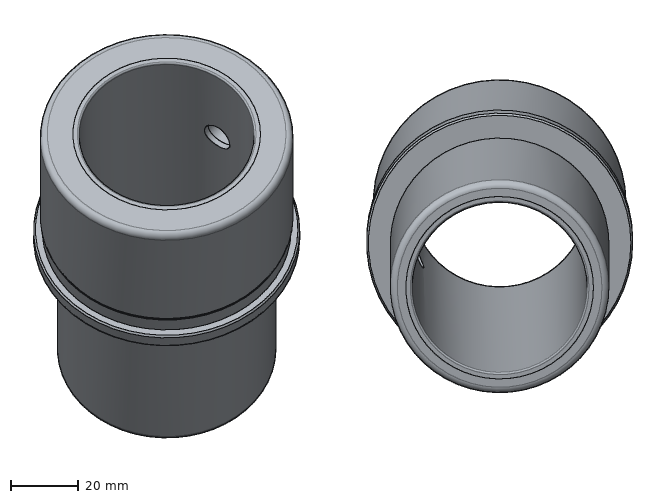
import cadquery as cq

length = 110.0
head_radius = 37.5
neck_radius = 37.0
flange_radius = 39.5
shank_radius = 32.5
end_round = 2.1

flange_bottom = 57.0
flange_height = 5.1
flange_top = flange_bottom + flange_height
flange_chamfer = 0.5
neck_height = 5.0
neck_top = flange_top + neck_height

relief_depth = 0.9
shank_relief_height = 1.9
head_relief_height = 1.5

liner_outer_radius = 27.8
bore_radius = 26.0
bore_round = 0.5

oil_hole_radius = 4.6
oil_hole_height = 79.8


def oil_hole():
    """Radial cylinder that runs from the axis out through the +Y wall."""
    return (
        cq.Workplane("XZ", origin=(0, 0, oil_hole_height))
        .circle(oil_hole_radius)
        .extrude(-flange_radius)
    )


def make_housing():
    """Stepped outer sleeve: shank, flange, neck and head, bored for the liner."""
    sleeve = (
        cq.Workplane("XZ")
        .moveTo(liner_outer_radius, 0)
        .lineTo(shank_radius, 0)
        .lineTo(shank_radius, flange_bottom - shank_relief_height)
        .lineTo(shank_radius - relief_depth, flange_bottom)
        .lineTo(flange_radius - flange_chamfer, flange_bottom)
        .lineTo(flange_radius, flange_bottom + flange_chamfer)
        .lineTo(flange_radius, flange_top - flange_chamfer)
        .lineTo(flange_radius - flange_chamfer, flange_top)
        .lineTo(neck_radius, flange_top)
        .lineTo(neck_radius, neck_top)
        .lineTo(head_radius - relief_depth, neck_top)
        .lineTo(head_radius, neck_top + head_relief_height)
        .lineTo(head_radius, length)
        .lineTo(liner_outer_radius, length)
        .close()
        .revolve(360, (0, 0, 0), (0, 1, 0))
    )
    outer_end_edges = cq.selectors.RadiusNthSelector(-1)
    sleeve = sleeve.faces(">Z").edges(outer_end_edges).fillet(end_round)
    sleeve = sleeve.faces("<Z").edges(outer_end_edges).fillet(end_round)
    return sleeve.cut(oil_hole())


def make_liner():
    """Plain inner sleeve, flush with the housing ends and rounded at the bore mouths."""
    sleeve = cq.Workplane("XY").circle(liner_outer_radius).circle(bore_radius).extrude(length)
    bore_edges = cq.selectors.RadiusNthSelector(0)
    sleeve = sleeve.faces("<Z or >Z").edges(bore_edges).fillet(bore_round)
    return sleeve.cut(oil_hole())


housing = make_housing()
liner = make_liner()

result = cq.Compound.makeCompound([housing.val(), liner.val()])